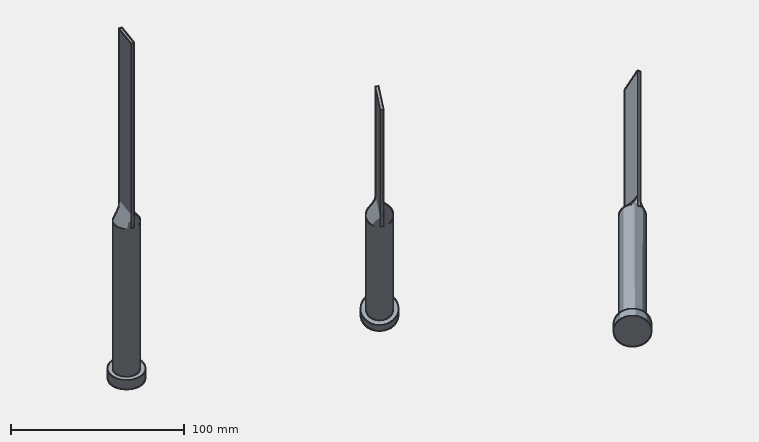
import cadquery as cq
import math

total_length = 250.0
head_diameter = 22.0
head_height = 7.0
shank_diameter = 16.0
blade_thickness = 2.0
blade_length = 125.0
transition_length = 10.0

blade_base_z = total_length - blade_length
shank_top_z = blade_base_z - transition_length
shank_radius = shank_diameter / 2
half_thickness = blade_thickness / 2

half_width = math.sqrt(shank_radius**2 - half_thickness**2)
blade_width = 2 * half_width


def make_head():
    return cq.Workplane("XY").circle(head_diameter / 2).extrude(head_height)


def make_shank():
    return cq.Workplane("XY").circle(shank_radius).extrude(shank_top_z)


def make_blade():
    """Rectangular blade, starting at the flat end of the shank."""
    return (
        cq.Workplane("XY", origin=(0, 0, shank_top_z))
        .rect(blade_width, blade_thickness)
        .extrude(total_length - shank_top_z)
    )


def make_transition(side):
    """Shoulder on one blade face (side = +1 or -1): shank arc tapering to a straight line."""
    y_blade = side * half_thickness
    left_bottom = cq.Vector(-half_width, y_blade, shank_top_z)
    right_bottom = cq.Vector(half_width, y_blade, shank_top_z)
    left_top = cq.Vector(-half_width, y_blade, blade_base_z)
    right_top = cq.Vector(half_width, y_blade, blade_base_z)
    arc_middle = cq.Vector(0, side * shank_radius, shank_top_z)

    arc = cq.Edge.makeThreePointArc(left_bottom, arc_middle, right_bottom)
    chord = cq.Edge.makeLine(right_bottom, left_bottom)
    top_line = cq.Edge.makeLine(left_top, right_top)

    sloped_face = cq.Face.makeRuledSurface(arc, top_line)
    bottom_face = cq.Face.makeFromWires(cq.Wire.assembleEdges([arc, chord]))
    blade_side_face = cq.Face.makeFromWires(
        cq.Wire.makePolygon([left_bottom, right_bottom, right_top, left_top], close=True)
    )
    shell = cq.Shell.makeShell([sloped_face, bottom_face, blade_side_face])
    shoulder = cq.Solid.makeSolid(shell).fix()
    return cq.Workplane("XY").newObject([shoulder])


result = make_head().union(make_shank()).union(make_blade())
for side in (-1, 1):
    result = result.union(make_transition(side))